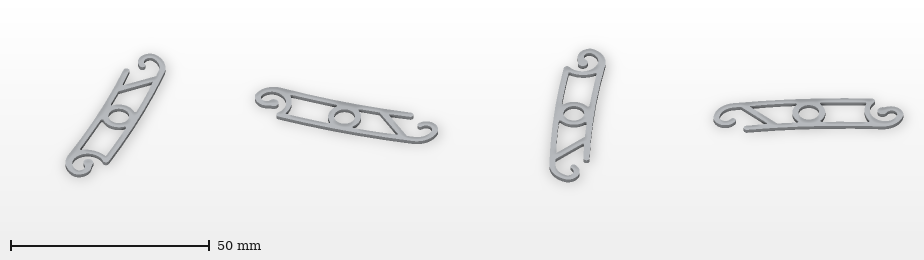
import cadquery as cq
import math

thickness = 1.0
hole_diameter = 5.2
ring_wall = 1.55
ring_radius = hole_diameter / 2 + ring_wall
corner_radius = 0.25
ring_corner_radius = 0.36

right_rail_top = (4.1, 18.85)
right_rail_bow = (4.9, 0.25)
right_rail_bottom = (4.35, -15.95)
left_rail_top = (-5.7, 15.65)
left_rail_bow = (-5.05, 1.6)
left_rail_bottom = (-5.88, -17.95)

top_crest = (-0.85, 24.05)
bottom_crest = (-1.65, -23.75)

notch_corner = (-3.73, 10.35)

window_right = 3.45
window_left = -3.55


def ring_height(x):
    """Distance from the X axis to the ring's outer circle at x."""
    return math.sqrt(ring_radius**2 - x**2)


def round_corners(solid, corners, radius):
    """Fillet the vertical edges that stand on the given corner points."""
    for corner in corners:
        edge = cq.selectors.NearestToPointSelector((*corner, thickness / 2))
        solid = solid.edges("|Z").edges(edge).fillet(radius)
    return solid


def make_body():
    """Solid outline, walked counter-clockwise from the top of the right rail."""
    outline = cq.Workplane("XY").moveTo(*right_rail_top)

    outline = (
        outline.threePointArc((2.5, 22.4), top_crest)
        .threePointArc((-3.15, 22.9), (-2.55, 18.65))
        .threePointArc((-1.5, 18.7), (-1.55, 19.75))
        .threePointArc((-2.25, 21.0), (-0.85, 22.55))
        .threePointArc((1.25, 21.55), (2.55, 18.85))
        .lineTo(2.7, 16.95)
    )

    outline = (
        outline.lineTo(*notch_corner)
        .lineTo(-4.15, 15.65)
        .threePointArc((-4.85, 16.6), left_rail_top)
    )

    outline = (
        outline.threePointArc(left_rail_bow, left_rail_bottom)
        .threePointArc((-4.8, -21.9), bottom_crest)
        .threePointArc((0.4, -22.8), (1.35, -20.75))
        .threePointArc((1.25, -19.82), (1.0, -18.9))
    )

    outline = (
        outline.threePointArc((-0.2, -17.25), (-1.25, -19.2))
        .lineTo(-0.53, -19.85)
        .threePointArc((-0.25, -20.88), (-1.65, -22.15))
        .threePointArc((-3.6, -20.75), (-4.0, -19.0))
        .threePointArc((-2.15, -15.95), (2.8, -16.4))
        .threePointArc((3.6, -16.75), right_rail_bottom)
    )

    outline = outline.threePointArc(right_rail_bow, right_rail_top).close()
    body = outline.extrude(thickness)
    return round_corners(body, [notch_corner], corner_radius)


def make_upper_window():
    """Opening between the ring and the diagonal brace."""
    right_corner = (window_right, ring_height(window_right))
    left_corner = (window_left, ring_height(window_left))
    window = (
        cq.Workplane("XY")
        .moveTo(*right_corner)
        .threePointArc((3.35, 7.65), (2.8, 14.8))
        .lineTo(-3.7, 8.1)
        .lineTo(*left_corner)
        .threePointArc((0, ring_radius), right_corner)
        .close()
        .extrude(thickness)
    )
    return round_corners(window, [right_corner, left_corner], ring_corner_radius)


def make_lower_window():
    """Opening between the ring and the arched wall of the bottom hook."""
    right_corner = (window_right, -ring_height(window_right))
    left_corner = (window_left, -ring_height(window_left))
    arch_left = (-4.1, -15.35)
    arch_right = (2.9, -14.7)
    window = (
        cq.Workplane("XY")
        .moveTo(*left_corner)
        .threePointArc((-3.73, -7.5), arch_left)
        .threePointArc((0, -14.0), arch_right)
        .threePointArc((3.25, -8.2), right_corner)
        .threePointArc((0, -ring_radius), left_corner)
        .close()
        .extrude(thickness)
    )
    window = round_corners(window, [right_corner, left_corner], ring_corner_radius)
    return round_corners(window, [arch_left, arch_right], corner_radius)


center_hole = cq.Workplane("XY").circle(hole_diameter / 2).extrude(thickness)

result = make_body().cut(make_upper_window()).cut(make_lower_window()).cut(center_hole)